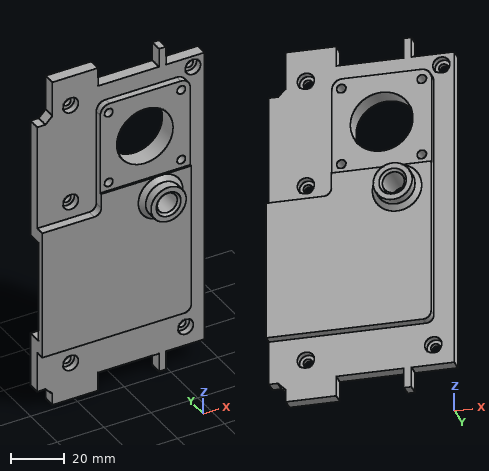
import cadquery as cq

PLATE_WIDTH = 71.5
TOTAL_HEIGHT = 143.63
PLATE_THICKNESS = 5.2
TOP_TAB_HEIGHT = 8.0
BOTTOM_TAB_HEIGHT = 8.0
WIDE_TAB_LEFT = 6.5
WIDE_TAB_RIGHT = 26.0
NARROW_TAB_LEFT = 52.0
NARROW_TAB_RIGHT = 55.0
TOP_LEFT_DROP = 17.9
CORNER_CHAMFER = 3.0

PANEL_FRONT = 9.0
PAD_FRONT = 8.2
PAD_LEFT = 25.2
RAISED_RIGHT = 63.6
PAD_TOP = 128.5
PAD_BOTTOM = 89.95
PANEL_TOP = 80.75
PANEL_BOTTOM = 25.4
PAD_CORNER_RADIUS = 4.0
PANEL_CORNER_RADIUS = 3.0

POCKET_WALL = 6.0
POCKET_DEPTH = 6.0
POCKET_BOTTOM = 31.2

MOTOR_X = 44.3
MOTOR_Z = 109.0
MOTOR_BORE = 24.0
MOTOR_SCREW_PITCH = 31.0
MOTOR_SCREW_HOLE = 3.5

BOSS_X = 50.5
BOSS_Z = 80.6
BOSS_FRONT = 15.0
BOSS_DIAMETER = 15.0
BOSS_FLARE = 2.0
BOSS_BORE = 8.5
BORE_CHAMFER = 1.0
BACK_RING_DIAMETER = 17.0

MOUNT_HOLES = [(14.3, 16.2), (63.4, 16.2), (14.3, 87.8), (14.3, 130.8), (66.5, 130.8)]
MOUNT_HOLE = 3.5
MOUNT_COUNTERBORE = 6.5
MOUNT_COUNTERBORE_DEPTH = 3.0


def front_plane(distance):
    """XZ plane at the given distance in front of the back face, facing -Y."""
    return cq.Workplane("XZ", origin=(0, -distance, 0))


def cylinder(x, z, diameter, start, end):
    """Cylinder along Y between two distances from the back face."""
    return front_plane(start).center(x, z).circle(diameter / 2).extrude(end - start)


def base_plate():
    body_top = TOTAL_HEIGHT - TOP_TAB_HEIGHT
    body_bottom = BOTTOM_TAB_HEIGHT
    left_top = TOTAL_HEIGHT - TOP_LEFT_DROP
    chamfer_start = WIDE_TAB_LEFT - CORNER_CHAMFER
    outline = [
        (0, body_bottom),
        (chamfer_start, body_bottom),
        (WIDE_TAB_LEFT, body_bottom - CORNER_CHAMFER),
        (WIDE_TAB_LEFT, 0),
        (WIDE_TAB_RIGHT, 0),
        (WIDE_TAB_RIGHT, body_bottom),
        (NARROW_TAB_LEFT, body_bottom),
        (NARROW_TAB_LEFT, 0),
        (NARROW_TAB_RIGHT, 0),
        (NARROW_TAB_RIGHT, body_bottom),
        (PLATE_WIDTH, body_bottom),
        (PLATE_WIDTH, body_top),
        (NARROW_TAB_RIGHT, body_top),
        (NARROW_TAB_RIGHT, TOTAL_HEIGHT),
        (NARROW_TAB_LEFT, TOTAL_HEIGHT),
        (NARROW_TAB_LEFT, body_top),
        (WIDE_TAB_RIGHT, body_top),
        (WIDE_TAB_RIGHT, TOTAL_HEIGHT),
        (WIDE_TAB_LEFT, TOTAL_HEIGHT),
        (WIDE_TAB_LEFT, left_top + CORNER_CHAMFER),
        (chamfer_start, left_top),
        (0, left_top),
    ]
    return front_plane(0).polyline(outline).close().extrude(PLATE_THICKNESS)


def raised_front():
    outline = [
        (0, PANEL_BOTTOM),
        (RAISED_RIGHT, PANEL_BOTTOM),
        (RAISED_RIGHT, PAD_TOP),
        (PAD_LEFT, PAD_TOP),
        (PAD_LEFT, PANEL_TOP),
        (0, PANEL_TOP),
    ]
    raised = front_plane(0).polyline(outline).close().extrude(PANEL_FRONT)
    raised = raised.edges("|Y and >Z").fillet(PAD_CORNER_RADIUS)
    lower_right = cq.selectors.NearestToPointSelector((RAISED_RIGHT, -PANEL_FRONT / 2, PANEL_BOTTOM))
    inner_corner = cq.selectors.NearestToPointSelector((PAD_LEFT, -PANEL_FRONT / 2, PANEL_TOP))
    raised = raised.edges(lower_right).fillet(PANEL_CORNER_RADIUS)
    raised = raised.edges(inner_corner).fillet(PANEL_CORNER_RADIUS)
    pad_relief = (
        front_plane(PAD_FRONT)
        .moveTo(0, PAD_BOTTOM)
        .lineTo(PLATE_WIDTH, PAD_BOTTOM)
        .lineTo(PLATE_WIDTH, TOTAL_HEIGHT)
        .lineTo(0, TOTAL_HEIGHT)
        .close()
        .extrude(PANEL_FRONT - PAD_FRONT)
    )
    return raised.cut(pad_relief)


def back_pocket():
    width = RAISED_RIGHT - POCKET_WALL
    height = PANEL_TOP - POCKET_WALL - POCKET_BOTTOM
    pocket = cq.Workplane("XY").box(width, POCKET_DEPTH, height, centered=False)
    return pocket.translate((0, -POCKET_DEPTH, POCKET_BOTTOM))


def cone(x, z, start_diameter, end_diameter, start, end):
    """Cone along Y between two distances from the back face."""
    solid = cq.Solid.makeCone(
        start_diameter / 2,
        end_diameter / 2,
        end - start,
        pnt=cq.Vector(x, -start, z),
        dir=cq.Vector(0, -1, 0),
    )
    return cq.Workplane("XY").add(solid)


def shaft_boss():
    """Flared front boss with the ring that stands on the pocket floor behind it."""
    flare_diameter = BOSS_DIAMETER + 2 * BOSS_FLARE
    flare_front = PANEL_FRONT + BOSS_FLARE
    barrel = cylinder(BOSS_X, BOSS_Z, BOSS_DIAMETER, PANEL_FRONT, BOSS_FRONT)
    flare = cone(BOSS_X, BOSS_Z, flare_diameter, BOSS_DIAMETER, PANEL_FRONT, flare_front)
    ring = cylinder(BOSS_X, BOSS_Z, BACK_RING_DIAMETER, PLATE_THICKNESS, PAD_FRONT)
    return barrel.union(flare).union(ring)


def shaft_bore():
    """Through bore with a chamfered mouth at the front."""
    mouth_diameter = BOSS_BORE + 2 * BORE_CHAMFER
    bore = cylinder(BOSS_X, BOSS_Z, BOSS_BORE, 0, BOSS_FRONT)
    mouth = cone(BOSS_X, BOSS_Z, BOSS_BORE, mouth_diameter, BOSS_FRONT - BORE_CHAMFER, BOSS_FRONT)
    return bore.union(mouth)


def motor_openings():
    openings = cylinder(MOTOR_X, MOTOR_Z, MOTOR_BORE, 0, PAD_FRONT)
    offset = MOTOR_SCREW_PITCH / 2
    for x in (MOTOR_X - offset, MOTOR_X + offset):
        for z in (MOTOR_Z - offset, MOTOR_Z + offset):
            openings = openings.union(cylinder(x, z, MOTOR_SCREW_HOLE, 0, PAD_FRONT))
    return openings


def mount_hole(x, z):
    """Through hole counterbored from the front."""
    counterbore_floor = PLATE_THICKNESS - MOUNT_COUNTERBORE_DEPTH
    hole = cylinder(x, z, MOUNT_HOLE, 0, PLATE_THICKNESS)
    return hole.union(cylinder(x, z, MOUNT_COUNTERBORE, counterbore_floor, PLATE_THICKNESS))


result = base_plate().union(raised_front())
result = result.cut(back_pocket())
result = result.union(shaft_boss())
result = result.cut(shaft_bore())
result = result.cut(motor_openings())
for hole_x, hole_z in MOUNT_HOLES:
    result = result.cut(mount_hole(hole_x, hole_z))